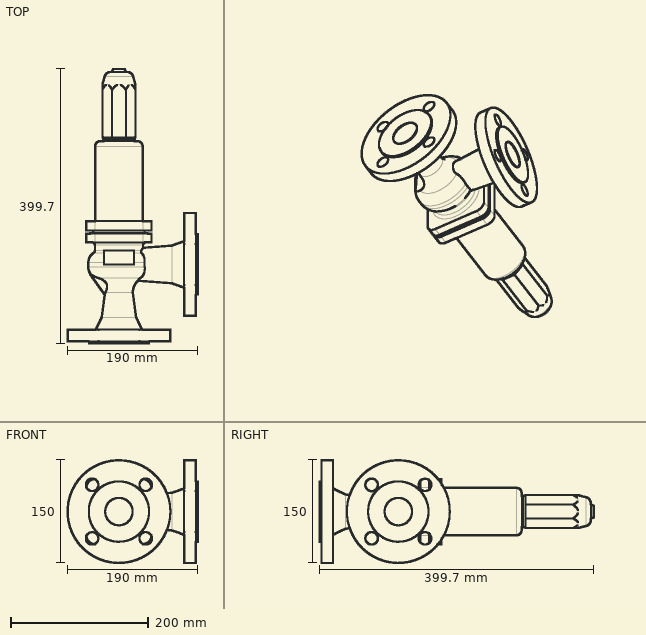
import cadquery as cq
import math


overall_width = 190.0
flange_diameter = 150.0
flange_depth = 20.0
raised_face_diameter = 88.0
raised_face_height = 2.8
port_diameter = 40.0
port_recess_depth = 0.8
bolt_circle_diameter = 110.0
bolt_hole_diameter = 18.0
bolt_count = 4
outlet_reach = overall_width - flange_diameter / 2
outlet_height = outlet_reach

hub_radius = 34.0
inlet_hub_length = 18.0
inlet_neck_radius = 25.0
throat_radius = 20.5
outlet_hub_length = 18.0
outlet_neck_radius = 27.5
outlet_root_radius = 23.5
outlet_root_distance = 24.0

bulge_radius = 44.8
bulge_round = 17.0
bulge_bottom = 111.0
bulge_top = 117.5
throat_blend = 23.0
collar_radius = 35.0
collar_blend = 4.0
plate_blend = 4.0

plate_width = 95.0
plate_corner_radius = 12.8
lower_plate_bottom = 147.0
lower_plate_thickness = 12.8
plate_gap = 4.5
upper_plate_thickness = 13.5
gasket_radius = 42.0
gasket_thickness = 0.8
spigot_radius = 37.5
upper_plate_bottom = lower_plate_bottom + lower_plate_thickness + plate_gap
upper_plate_top = upper_plate_bottom + upper_plate_thickness

bonnet_radius = 34.8
bonnet_top = 294.5
bonnet_round = 8.0
cap_neck_radius = 22.5
cap_collar_radius = 23.0
cap_collar_bottom = 296.5

cap_sides = 8
cap_across_flats = 48.5
cap_bottom = 299.8
cap_top = 395.5
cap_top_radius = 19.0
cap_taper = math.radians(15)
cap_round = 9.5
knob_base_radius = 10.5
knob_top_radius = 8.5
overall_length = 399.7

pad_width = 44.0
pad_bottom = 114.7
pad_length = 20.8
pad_top = 47.5

boss_radius = 17.5
boss_face_x = -31.5
boss_face_y = 86.0
boss_tilt = math.radians(35.5)
boss_length = 36.0


def revolve_about_y(profile):
    return profile.close().revolve(360, (0, 0, 0), (0, 1, 0))


def cylinder_on_y(radius, start, end):
    return cq.Workplane("XZ", origin=(0, start, 0)).circle(radius).extrude(start - end)


def pipe_flange():
    """Flange with its raised face at Y = 0 and its back at +Y."""
    flange = cylinder_on_y(flange_diameter / 2, raised_face_height, flange_depth)
    flange = flange.union(cylinder_on_y(raised_face_diameter / 2, 0, flange_depth))
    flange = flange.cut(cylinder_on_y(port_diameter / 2, 0, port_recess_depth))
    bolt_holes = (
        cq.Workplane("XZ")
        .polarArray(bolt_circle_diameter / 2, 180 / bolt_count, 360, bolt_count)
        .circle(bolt_hole_diameter / 2)
        .extrude(-flange_depth)
    )
    return flange.cut(bolt_holes)


def blend_points(centre_y, side, target_radius, blend):
    """Points of the concave arc from the bulge round to a wall of target_radius.

    side is +1 above the bulge and -1 below it.
    Returns the arc start on the bulge, a midpoint, the arc end on the wall, and the bulge arc midpoint.
    """
    centre_r = bulge_radius - bulge_round
    reach = bulge_round + blend
    angle = math.acos((target_radius + blend - centre_r) / reach)
    blend_r = target_radius + blend
    blend_y = centre_y + side * reach * math.sin(angle)
    start = (
        centre_r + bulge_round * math.cos(angle),
        centre_y + side * bulge_round * math.sin(angle),
    )
    middle = (
        blend_r - blend * math.cos(angle / 2),
        blend_y - side * blend * math.sin(angle / 2),
    )
    end = (target_radius, blend_y)
    bulge_middle = (
        centre_r + bulge_round * math.cos(angle / 2),
        centre_y + side * bulge_round * math.sin(angle / 2),
    )
    return start, middle, end, bulge_middle


def valve_body():
    """Inlet neck, throat, bulge and collar as one turned shape."""
    low_start, low_middle, low_end, low_bulge = blend_points(bulge_bottom, -1, throat_radius, throat_blend)
    top_start, top_middle, top_end, top_bulge = blend_points(bulge_top, 1, collar_radius, collar_blend)
    blend_inset = plate_blend * (1 - math.sqrt(0.5))
    return revolve_about_y(
        cq.Workplane("XY")
        .moveTo(0, flange_depth)
        .lineTo(hub_radius, flange_depth)
        .lineTo(inlet_neck_radius, flange_depth + inlet_hub_length)
        .lineTo(*low_end)
        .threePointArc(low_middle, low_start)
        .threePointArc(low_bulge, (bulge_radius, bulge_bottom))
        .lineTo(bulge_radius, bulge_top)
        .threePointArc(top_bulge, top_start)
        .threePointArc(top_middle, top_end)
        .lineTo(collar_radius, lower_plate_bottom - plate_blend)
        .threePointArc(
            (collar_radius + blend_inset, lower_plate_bottom - blend_inset),
            (collar_radius + plate_blend, lower_plate_bottom),
        )
        .lineTo(0, lower_plate_bottom)
    )


def outlet():
    """Outlet flange and neck, built along Y and turned to face +X."""
    neck_end = flange_depth + outlet_hub_length
    neck = revolve_about_y(
        cq.Workplane("XY")
        .moveTo(0, flange_depth)
        .lineTo(hub_radius, flange_depth)
        .lineTo(outlet_neck_radius, neck_end)
        .lineTo(outlet_root_radius, outlet_reach - outlet_root_distance)
        .lineTo(0, outlet_reach - outlet_root_distance)
    )
    branch = pipe_flange().union(neck)
    return branch.rotate((0, 0, 0), (0, 0, 1), 90).translate((outlet_reach, outlet_height, 0))


def square_plate(bottom, thickness):
    return (
        cq.Workplane("XZ", origin=(0, bottom, 0))
        .rect(plate_width, plate_width)
        .extrude(-thickness)
        .edges("|Y")
        .fillet(plate_corner_radius)
    )


def plate_joint():
    lower_plate_top = lower_plate_bottom + lower_plate_thickness
    return (
        square_plate(lower_plate_bottom, lower_plate_thickness)
        .union(cylinder_on_y(gasket_radius, lower_plate_top, lower_plate_top + gasket_thickness))
        .union(cylinder_on_y(spigot_radius, lower_plate_top, upper_plate_bottom))
        .union(square_plate(upper_plate_bottom, upper_plate_thickness))
    )


def bonnet():
    shell = cylinder_on_y(bonnet_radius, upper_plate_top, bonnet_top)
    shell = shell.faces(">Y").edges().fillet(bonnet_round)
    cap_neck = cylinder_on_y(cap_neck_radius, bonnet_top, cap_collar_bottom)
    cap_collar = cylinder_on_y(cap_collar_radius, cap_collar_bottom, cap_bottom)
    return shell.union(cap_neck).union(cap_collar)


def cap():
    """Octagonal bar trimmed by a rounded cone, with a small knob on top."""
    cap_length = cap_top - cap_bottom
    octagon = (
        cq.Workplane("XZ", origin=(0, cap_bottom, 0))
        .polygon(cap_sides, cap_across_flats, circumscribed=True)
        .extrude(-cap_length)
    )
    cone = revolve_about_y(
        cq.Workplane("XY")
        .moveTo(0, cap_bottom)
        .lineTo(cap_top_radius + cap_length * math.tan(cap_taper), cap_bottom)
        .lineTo(cap_top_radius, cap_top)
        .lineTo(0, cap_top)
    )
    cone = cone.faces(">Y").edges().fillet(cap_round)
    knob = revolve_about_y(
        cq.Workplane("XY")
        .moveTo(0, cap_top)
        .lineTo(knob_base_radius, cap_top)
        .lineTo(knob_top_radius, overall_length)
        .lineTo(0, overall_length)
    )
    return octagon.intersect(cone).union(knob)


def name_pad():
    return (
        cq.Workplane("XY")
        .center(0, pad_bottom + pad_length / 2)
        .rect(pad_width, pad_length)
        .extrude(pad_top)
    )


def slanted_boss():
    inward = cq.Vector(math.cos(boss_tilt), math.sin(boss_tilt), 0)
    face_centre = cq.Vector(boss_face_x, boss_face_y, 0)
    return cq.Workplane(cq.Solid.makeCylinder(boss_radius, boss_length, face_centre, inward))


result = (
    valve_body()
    .union(pipe_flange())
    .union(outlet())
    .union(plate_joint())
    .union(bonnet())
    .union(cap())
    .union(name_pad())
    .union(slanted_boss())
)